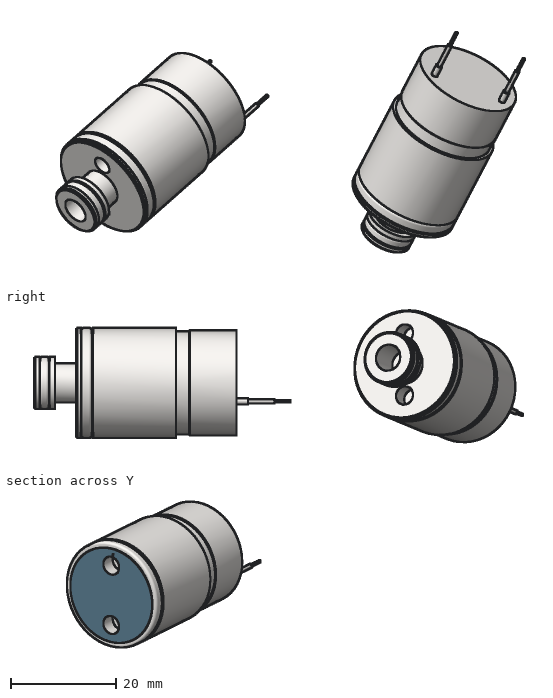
import cadquery as cq
import math


body_diameter = 21.0
body_length = 19.0
body_radius = body_diameter / 2

neck_diameter = 19.7
neck_length = 2.5
cap_diameter = 20.0
cap_length = 9.0
cap_front = body_length + neck_length
cap_rear = cap_front + cap_length

stem_diameter = 7.5
nose_diameter = 10.0
nose_length = 4.0
stem_length = 4.0
nose_tip = -(stem_length + nose_length)
nose_back = -stem_length
nose_radius = nose_diameter / 2

front_chamfer = 0.3
body_land_width = 0.9
nose_land_width = 1.0
front_groove_gap = 0.1
groove_round = 0.5
body_ring_flat = 1.0
body_rear_gap = 0.25
body_groove_depth = 1.0
nose_ring_flat = 0.75
nose_rear_gap = 0.1
nose_groove_depth = 0.8

bore_diameter = 5.0
bore_depth = nose_length + stem_length
port_diameter = 3.5
port_offset = 6.0
port_depth = 4.0

lead_offset_x = 7.0
lead_offset_z = -3.5
overall_length = 48.7
lead_length = overall_length - (cap_rear - nose_tip)
lead_steps = [(1.2, 2.2), (0.85, 7.2), (0.5, lead_length)]


def cylinder(diameter, start, end, x=0, z=0):
    """Cylinder parallel to Y, reaching from Y = start to Y = end."""
    circle = cq.Workplane("XZ", origin=(x, start, z)).circle(diameter / 2)
    return circle.extrude(start - end)


def grooved_collar(radius, front, rear, land_width, ring_flat, rear_gap, groove_depth):
    """Collar with a chamfered front edge and two grooves around a ring with rounded edges."""
    floor = radius - groove_depth
    round_middle = groove_round * math.sqrt(0.5)

    land_end = front + land_width
    ring_front = land_end + front_groove_gap
    flat_front = ring_front + groove_round
    flat_rear = flat_front + ring_flat
    ring_rear = flat_rear + groove_round
    rear_wall = ring_rear + rear_gap
    round_radius = radius - groove_round

    profile = (
        cq.Workplane("XY")
        .moveTo(0, front)
        .lineTo(radius - front_chamfer, front)
        .lineTo(radius, front + front_chamfer)
        .lineTo(radius, land_end)
        .lineTo(floor, land_end)
        .lineTo(floor, ring_front)
        .lineTo(round_radius, ring_front)
        .threePointArc((round_radius + round_middle, flat_front - round_middle), (radius, flat_front))
        .lineTo(radius, flat_rear)
        .threePointArc((round_radius + round_middle, flat_rear + round_middle), (round_radius, ring_rear))
        .lineTo(floor, ring_rear)
        .lineTo(floor, rear_wall)
        .lineTo(radius, rear_wall)
        .lineTo(radius, rear)
        .lineTo(0, rear)
        .close()
    )
    return profile.revolve(360, (0, 0, 0), (0, 1, 0))


def lead(x):
    """Stepped lead standing on the rear face of the cap."""
    steps = cq.Workplane("XY")
    start = 0
    for diameter, end in lead_steps:
        steps = steps.union(cylinder(diameter, cap_rear + start, cap_rear + end, x, lead_offset_z))
        start = end
    return steps


body = grooved_collar(
    body_radius, 0, body_length, body_land_width, body_ring_flat, body_rear_gap, body_groove_depth
)
nose = grooved_collar(
    nose_radius, nose_tip, nose_back, nose_land_width, nose_ring_flat, nose_rear_gap, nose_groove_depth
)
stem = cylinder(stem_diameter, nose_back, 0)
neck = cylinder(neck_diameter, body_length, cap_front)
cap_edge_chamfer = (cap_diameter - neck_diameter) / 2
cap = cylinder(cap_diameter, cap_front, cap_rear).faces("<Y").chamfer(cap_edge_chamfer)
result = body.union(stem).union(nose).union(neck).union(cap)

for side in (-1, 1):
    result = result.union(lead(side * lead_offset_x))

result = result.cut(cylinder(bore_diameter, nose_tip, nose_tip + bore_depth))
for side in (-1, 1):
    result = result.cut(cylinder(port_diameter, 0, port_depth, z=side * port_offset))